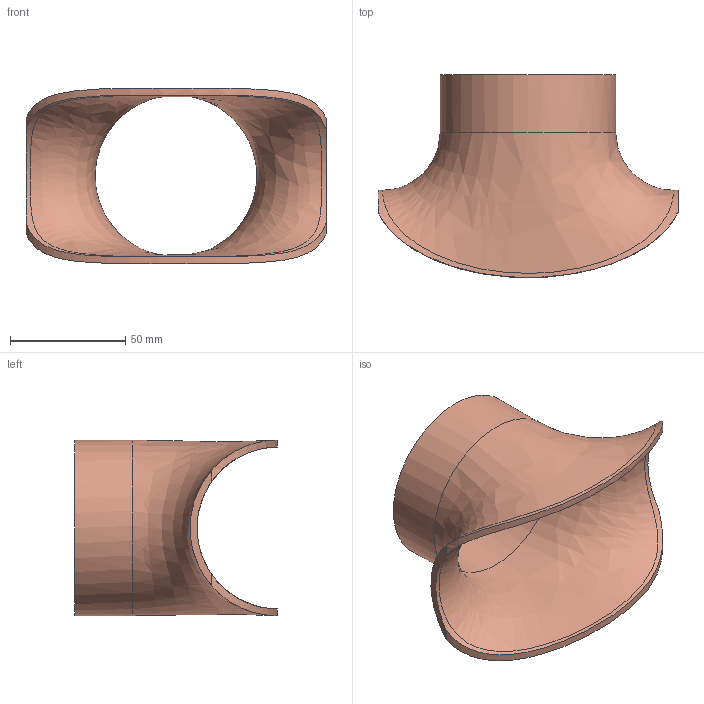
import cadquery as cq
import math

shapes = cq.occ_impl.shapes

outer_radius = 76.1 / 2
bore_radius = 70.1 / 2

collar_length = 25.0
flare_radius = 25.0
collar_start = outer_radius + flare_radius
collar_end = collar_start + collar_length

overall_length = 87.91
saddle_width = 130.0
border_width = 1.8
rim_front = collar_end - overall_length
rim_half_width = 67.1
flare_front = rim_front + border_width
flare_half_width = outer_radius + flare_radius

flare_section_count = 8
border_section_count = 3
points_per_section = 48
seam_angle = math.pi / 4
tangent_step = 1e-4
sewing_tolerance = 1e-3
arc_handle = 4 / 3 * math.tan(math.pi / 8)


def saddle_point(t, radius, half_width, front, center):
    """Point at angle t of a closed loop on the run cylinder of this radius.

    Seen along Z the loop is an ellipse centered at Y = center, reaching out to half_width in X
    and down to front in Y.
    """
    drop = (radius - front) * math.sin(t) ** 2
    depth = center - front
    relative_drop = (center - radius + drop) / depth
    y = radius - drop
    x = half_width * math.cos(t) * math.sqrt((radius - front) / depth * (1 + relative_drop))
    z = math.sin(t) * math.sqrt((radius - front) * (radius + y))
    return cq.Vector(x, y, z)


def flare_edge_point(t, radius):
    """Point on the loop where the flare meets the run cylinder."""
    return saddle_point(t, radius, flare_half_width, flare_front, radius)


def runout_direction(t, radius):
    """Outward direction on the run cylinder, square to the flare's edge."""
    along_edge = flare_edge_point(t + tangent_step, radius) - flare_edge_point(t - tangent_step, radius)
    point = flare_edge_point(t, radius)
    cylinder_normal = cq.Vector(0, point.y, point.z)
    return cylinder_normal.cross(along_edge).normalized()


def flare_point(t, fraction, radius):
    """Point on the flare, which leaves the collar along -Y and meets the run cylinder tangentially."""
    start = cq.Vector(radius * math.cos(t), collar_start, radius * math.sin(t))
    end = flare_edge_point(t, radius)
    handle = arc_handle * (end - start).Length / math.sqrt(2)
    start_handle = start - cq.Vector(0, handle, 0)
    end_handle = end - runout_direction(t, radius) * handle
    rest = 1 - fraction
    near_start = start * rest**3 + start_handle * (3 * rest**2 * fraction)
    near_end = end_handle * (3 * rest * fraction**2) + end * fraction**3
    return near_start + near_end


def border_point(t, fraction, radius):
    """Point on the plain border, which runs along the run cylinder from the flare's edge to the rim."""
    half_width = flare_half_width + fraction * (rim_half_width - flare_half_width)
    front = flare_front + fraction * (rim_front - flare_front)
    center = radius + fraction * (outer_radius - radius)
    return saddle_point(t, radius, half_width, front, center)


def closed_loop(point_at, fraction, radius):
    """Smooth closed wire of one section of a band."""
    angles = [seam_angle + 2 * math.pi * i / points_per_section for i in range(points_per_section)]
    edge = cq.Edge.makeSpline([point_at(t, fraction, radius) for t in angles], periodic=True)
    return cq.Wire.assembleEdges([edge])


def band_sections(point_at, count, radius):
    return [closed_loop(point_at, i / (count - 1), radius) for i in range(count)]


def collar_circle(y, radius):
    return cq.Wire.makeCircle(radius, cq.Vector(0, y, 0), cq.Vector(0, 1, 0))


def wall_skin(radius):
    """Collar, flare and border bands on one side of the wall, with the loop at the rim."""
    collar = shapes.extrude(collar_circle(collar_start, radius), cq.Vector(0, collar_length, 0))
    flare = band_sections(flare_point, flare_section_count, radius)
    border = band_sections(border_point, border_section_count, radius)
    return [collar, shapes.loft(flare), shapes.loft(border)], border[-1]


def make_fitting():
    """Collar, flare and saddle as one solid, not yet trimmed in X."""
    outer_bands, outer_rim = wall_skin(outer_radius)
    inner_bands, inner_rim = wall_skin(bore_radius)
    rim = shapes.loft([outer_rim, inner_rim], ruled=True)
    end_face = cq.Face.makeFromWires(
        collar_circle(collar_end, outer_radius),
        [collar_circle(collar_end, bore_radius)],
    )
    return shapes.solid(*outer_bands, *inner_bands, rim, end_face, tol=sewing_tolerance)


def trim_box():
    """Block that trims the saddle to its flat ends in X."""
    box_depth = 4 * collar_end
    box_height = 4 * outer_radius
    return cq.Workplane("XY").box(saddle_width, box_depth, box_height)


result = cq.Workplane(obj=make_fitting()).intersect(trim_box())